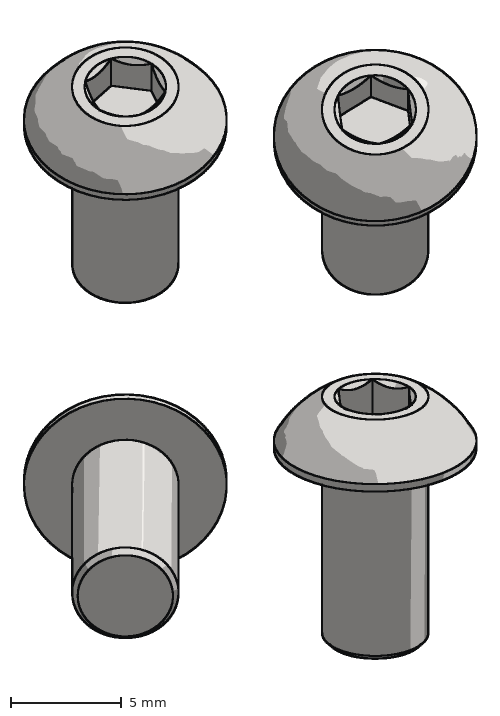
import cadquery as cq
import math

total_length = 12.09
head_height = 2.56
head_diameter = 9.16
rim_height = 0.37
dome_bulge = 0.2

shank_diameter = 4.81
shank_length = total_length - head_height
tip_chamfer_length = 0.27
tip_chamfer_width = 0.25

socket_flats = 3.18
socket_depth = 1.81
mouth_angle = 45.0

head_radius = head_diameter / 2
shank_radius = shank_diameter / 2
top_radius = shank_radius
socket_corners = socket_flats / math.cos(math.radians(30))


def screw_body():
    """Revolve the half profile of the shank and the domed head."""
    run = head_radius - top_radius
    rise = head_height - rim_height
    chord = math.hypot(run, rise)
    dome_middle = (
        (head_radius + top_radius) / 2 + dome_bulge * rise / chord,
        (rim_height + head_height) / 2 + dome_bulge * run / chord,
    )
    return (
        cq.Workplane("XZ")
        .moveTo(0, -shank_length)
        .lineTo(shank_radius - tip_chamfer_width, -shank_length)
        .lineTo(shank_radius, -shank_length + tip_chamfer_length)
        .lineTo(shank_radius, 0)
        .lineTo(head_radius, 0)
        .lineTo(head_radius, rim_height)
        .threePointArc(dome_middle, (top_radius, head_height))
        .lineTo(0, head_height)
        .close()
        .revolve(360, (0, 0, 0), (0, 1, 0))
    )


def hex_socket():
    """Blind hexagonal socket with two corners on the Y axis."""
    return (
        cq.Workplane("XY", origin=(0, 0, head_height))
        .transformed(rotate=(0, 0, 90))
        .polygon(6, socket_corners)
        .extrude(-socket_depth)
    )


def socket_mouth():
    """Conical countersink that meets the socket corners at the top face."""
    mouth_radius = socket_corners / 2
    inner_radius = socket_flats / 2
    cone_depth = (mouth_radius - inner_radius) * math.tan(math.radians(mouth_angle))
    return (
        cq.Workplane("XZ")
        .moveTo(0, head_height)
        .lineTo(mouth_radius, head_height)
        .lineTo(inner_radius, head_height - cone_depth)
        .lineTo(0, head_height - cone_depth)
        .close()
        .revolve(360, (0, 0, 0), (0, 1, 0))
    )


result = screw_body().cut(hex_socket()).cut(socket_mouth())